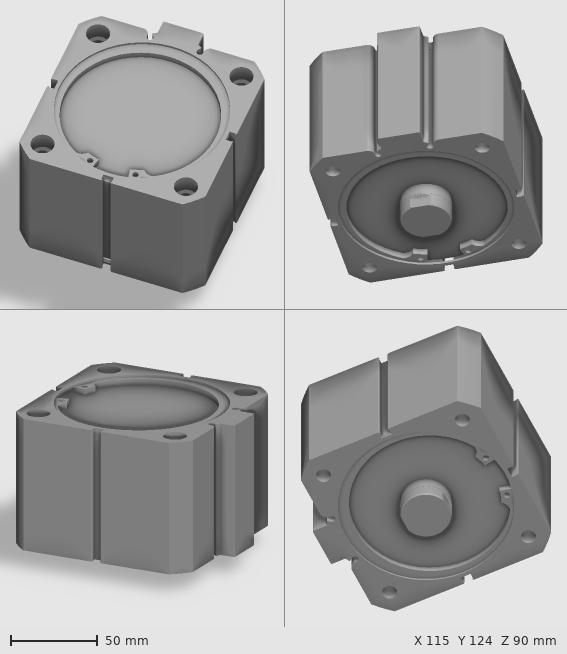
import cadquery as cq
import math

body_width = 115.0
body_height = 80.0
half_width = body_width / 2
corner_radius = 74.4
overall_depth = 124.0

rib_half_width = 12.5
rib_edge_radius = 0.7
rib_top = overall_depth - half_width
notch_center_x = 15.4
notch_center_y = 52.7
notch_radius = 2.0
notch_lip_radius = 4.1
barb_tip_x = 15.3
barb_tip_y = 55.9
barb_root_y = 53.7

slot_depth = 4.5
slot_half_width = 3.2
slot_mouth_half_width = 2.6
slot_mouth_bevel = 0.5
slot_lip_thickness = 0.9

screw_spacing = 88.7
screw_hole_diameter = 8.7
counterbore_diameter = 13.9
counterbore_depth = 11.0

bore_radius = 50.8
groove_radius = 53.2
ring_offset = 1.5
ring_thickness = 4.0
cover_inset = ring_offset + ring_thickness

ring_inner_radius = 46.6
ring_inner_offset = 2.5
lug_inner_radius = 43.5
lug_gap_angle = 12.8
lug_corner_angle = 23.7
lug_root_x = 24.2
lug_flank_radius = 6.2
lug_hole_radius = 1.9
lug_hole_x = 14.1
lug_hole_y = -45.0
top_ring_turn = -0.8

rod_radius = 15.0
rod_end_radius = 14.9
rod_projection = 10.0
rod_flat_distance = 13.5
rod_collar_height = 1.7
rod_chamfer_height = 1.0
rod_chamfer_depth = 0.57
rod_top = body_height / 2


def on_circle(radius, angle_from_minus_y):
    """Point on a circle about the axis, the angle turning from -Y towards +X."""
    angle = math.radians(angle_from_minus_y)
    return radius * math.sin(angle), -radius * math.cos(angle)


def disc(radius, bottom, top):
    return cq.Workplane("XY").workplane(offset=bottom).circle(radius).extrude(top - bottom)


def notch_cutter(side):
    """Undercut beside the rib: side is +1 for +X and -1 for -X."""
    lip_x = notch_center_x + notch_radius + notch_lip_radius
    lip_y = half_width - notch_lip_radius
    diagonal = notch_lip_radius * math.sqrt(0.5)
    barb_root_x = notch_center_x - math.sqrt(notch_radius**2 - (barb_root_y - notch_center_y) ** 2)

    def point(x, y):
        return side * x, y

    return (
        cq.Workplane("XY")
        .moveTo(*point(rib_half_width, half_width))
        .lineTo(*point(barb_tip_x, barb_tip_y))
        .lineTo(*point(barb_root_x, barb_root_y))
        .threePointArc(
            point(notch_center_x, notch_center_y - notch_radius),
            point(notch_center_x + notch_radius, notch_center_y),
        )
        .lineTo(*point(notch_center_x + notch_radius, lip_y))
        .threePointArc(point(lip_x - diagonal, lip_y + diagonal), point(lip_x, half_width))
        .close()
        .extrude(body_height)
    )


def slot_cutter(turn):
    """Lipped slot in the -Y face, turned about Z onto another side."""
    face = -half_width
    lip_back = face + slot_lip_thickness
    right_side = [
        (slot_half_width, face),
        (slot_mouth_half_width, face + slot_mouth_bevel),
        (slot_mouth_half_width, lip_back),
        (slot_half_width, lip_back),
        (slot_half_width, face + slot_depth),
    ]
    left_side = [(-x, y) for x, y in reversed(right_side)]
    slot = cq.Workplane("XY").polyline(right_side + left_side).close().extrude(body_height)
    return slot.rotate((0, 0, 0), (0, 0, 1), turn)


def make_housing():
    block = cq.Workplane("XY").rect(body_width, body_width).extrude(body_height)
    block = block.intersect(disc(corner_radius, 0, body_height))

    rib_root = notch_center_y
    rib = (
        cq.Workplane("XY")
        .center(0, (rib_root + rib_top) / 2)
        .rect(2 * rib_half_width, rib_top - rib_root)
        .extrude(body_height)
        .edges("|Z and >Y")
        .fillet(rib_edge_radius)
    )
    housing = block.union(rib)

    for side in (-1, 1):
        housing = housing.cut(notch_cutter(side))
    for turn in (-90, 0, 90):
        housing = housing.cut(slot_cutter(turn))

    housing = housing.cut(disc(bore_radius, 0, body_height))
    housing = housing.cut(disc(groove_radius, ring_offset, cover_inset))
    housing = housing.cut(disc(groove_radius, body_height - cover_inset, body_height - ring_offset))

    return (
        housing.faces(">Z")
        .workplane(origin=(0, 0, body_height))
        .rect(screw_spacing, screw_spacing, forConstruction=True)
        .vertices()
        .cboreHole(screw_hole_diameter, counterbore_diameter, counterbore_depth)
    )


def make_retaining_ring(bottom, turn):
    """Open ring with two drilled lugs, its gap facing -Y before it is turned."""
    outer_end = on_circle(groove_radius, lug_gap_angle)
    inner_end = on_circle(lug_inner_radius, lug_gap_angle)
    lug_middle = on_circle(lug_inner_radius, (lug_gap_angle + lug_corner_angle) / 2)
    lug_corner = on_circle(lug_inner_radius, lug_corner_angle)
    lug_root_y = -ring_inner_offset - math.sqrt(ring_inner_radius**2 - lug_root_x**2)

    def mirrored(point):
        return -point[0], point[1]

    ring = (
        cq.Workplane("XY")
        .workplane(offset=bottom)
        .moveTo(*outer_end)
        .threePointArc((0, groove_radius), mirrored(outer_end))
        .lineTo(*mirrored(inner_end))
        .threePointArc(mirrored(lug_middle), mirrored(lug_corner))
        .radiusArc((-lug_root_x, lug_root_y), lug_flank_radius)
        .threePointArc((0, ring_inner_radius - ring_inner_offset), (lug_root_x, lug_root_y))
        .radiusArc(lug_corner, lug_flank_radius)
        .threePointArc(lug_middle, inner_end)
        .close()
        .extrude(ring_thickness)
    )
    lug_holes = (
        cq.Workplane("XY")
        .workplane(offset=bottom)
        .pushPoints([(-lug_hole_x, lug_hole_y), (lug_hole_x, lug_hole_y)])
        .circle(lug_hole_radius)
        .extrude(ring_thickness)
    )
    return ring.cut(lug_holes).rotate((0, 0, 0), (0, 0, 1), turn)


def make_end_cover():
    return disc(bore_radius, rod_top, body_height - cover_inset)


def make_rod_cover():
    cover = disc(bore_radius, cover_inset, rod_top)
    return cover.cut(disc(rod_radius, cover_inset, rod_top))


def flat_cutter(side):
    """Wrench flat on the rod, facing -Y or +Y, run out with a 45 degree slope."""
    flat = side * rod_flat_distance
    outside = side * 2 * rod_radius
    slope_top = -rod_collar_height + rod_radius
    slope_bottom = -rod_collar_height - (rod_radius - rod_flat_distance)
    return (
        cq.Workplane("YZ")
        .polyline([
            (flat, -rod_projection),
            (flat, slope_bottom),
            (outside, slope_top),
            (outside, -rod_projection),
        ])
        .close()
        .extrude(rod_radius, both=True)
    )


def make_rod():
    rod = (
        cq.Workplane("XZ")
        .moveTo(0, -rod_projection)
        .lineTo(rod_end_radius - rod_chamfer_depth, -rod_projection)
        .lineTo(rod_end_radius, -rod_projection + rod_chamfer_height)
        .lineTo(rod_end_radius, -rod_collar_height)
        .lineTo(rod_radius, -rod_collar_height)
        .lineTo(rod_radius, rod_top)
        .lineTo(0, rod_top)
        .close()
        .revolve(360, (0, 0), (0, 1))
    )
    for side in (-1, 1):
        rod = rod.cut(flat_cutter(side))
    return rod


housing = make_housing()
end_cover = make_end_cover()
rod_cover = make_rod_cover()
rod = make_rod()

ring_places = [
    (ring_offset, 0),
    (body_height - cover_inset, top_ring_turn),
]
retaining_rings = [make_retaining_ring(bottom, turn) for bottom, turn in ring_places]

bodies = [housing, end_cover, rod_cover, rod, *retaining_rings]
result = cq.Compound.makeCompound([body.solids().val() for body in bodies])